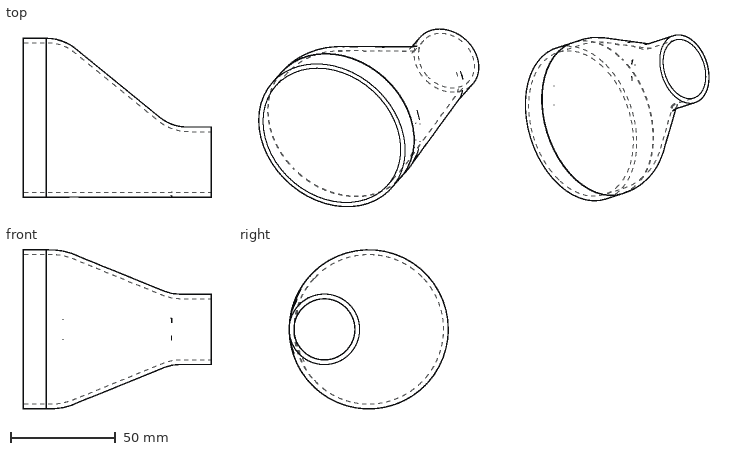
import cadquery as cq

length = 90.0
large_outer_dia = 76.1
large_inner_dia = 71.5
small_outer_dia = 33.7
small_wall = 2.3
small_inner_dia = small_outer_dia - 2 * small_wall
large_wall = (large_outer_dia - large_inner_dia) / 2

straight_length = 19.0
cone_start = straight_length
cone_end = length - straight_length

large_bend_radius = 21.5
small_bend_radius = 20.7

groove_start = 10.95
groove_width = 0.3
groove_depth = 0.1

flat_sliver = 0.3

tolerance = 0.01


def circle_edges_at(solid, x):
    """Edges of the solid that lie in the plane at the given X."""
    in_plane = [
        edge
        for edge in solid.edges().vals()
        if abs(edge.Center().x - x) < tolerance and edge.BoundingBox().xlen < tolerance
    ]
    return solid.newObject(in_plane)


def sharp_reducer(large_dia, small_dia):
    """Pipe end, oblique cone and pipe end, aligned along their -Y side."""
    offset = (small_dia - large_dia) / 2
    large_end = cq.Workplane("YZ").circle(large_dia / 2).extrude(cone_start)
    cone = (
        cq.Workplane("YZ", origin=(cone_start, 0, 0))
        .circle(large_dia / 2)
        .workplane(offset=cone_end - cone_start)
        .center(offset, 0)
        .circle(small_dia / 2)
        .loft(ruled=True)
    )
    small_end = (
        cq.Workplane("YZ", origin=(cone_end, offset, 0))
        .circle(small_dia / 2)
        .extrude(length - cone_end)
    )
    return large_end.union(cone).union(small_end)


def smooth_reducer(large_dia, small_dia, large_bend, small_bend):
    """Reducer solid with rolling-ball bends at both ends of the cone."""
    sharp = sharp_reducer(large_dia, small_dia)
    split_y = flat_sliver - large_dia / 2
    block_size = 3 * length
    block_above_split = cq.Workplane(origin=(0, split_y, 0)).box(
        block_size, block_size, block_size, centered=(True, False, True)
    )
    sliver = sharp.cut(block_above_split)
    body = sharp.intersect(block_above_split)
    body = circle_edges_at(body, cone_start).fillet(large_bend)
    body = circle_edges_at(body, cone_end).fillet(small_bend)
    return body.union(sliver)


def marking_groove():
    """Ring of material to remove for the marking groove."""
    return (
        cq.Workplane("YZ", origin=(groove_start, 0, 0))
        .circle(large_outer_dia / 2 + groove_depth)
        .circle(large_outer_dia / 2 - groove_depth)
        .extrude(groove_width)
    )


outer = smooth_reducer(large_outer_dia, small_outer_dia, large_bend_radius, small_bend_radius)
bore = smooth_reducer(
    large_inner_dia,
    small_inner_dia,
    large_bend_radius - large_wall,
    small_bend_radius + small_wall,
)
result = outer.cut(bore).cut(marking_groove())